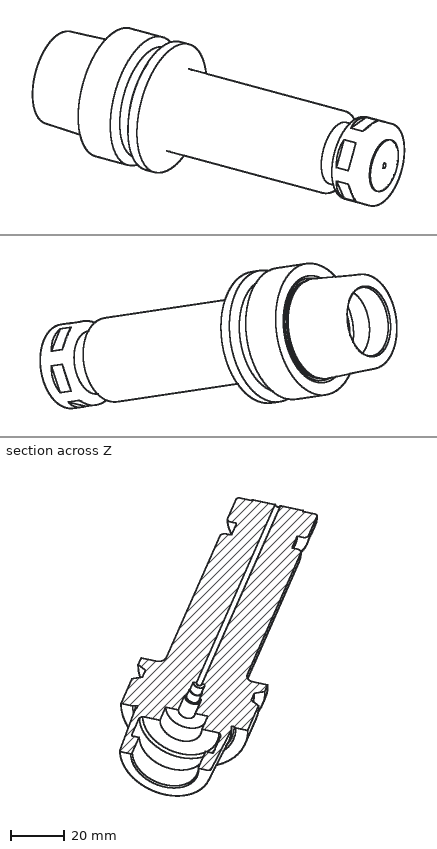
import cadquery as cq
import math


shank_length = 25.0
shank_tip_radius = 18.0
shank_tip_round = 1.0
taper_end_x = -2.1
taper_end_radius = 19.0
land_end_x = -1.3

relief_radius = 18.6
relief_slope_length = 1.0
recess_depth = 0.5
recess_floor_radius = 19.45
recess_mouth_radius = 20.3

flange_radius = 25.0
flange_length = 26.0
groove_center_x = 18.1
groove_floor_width = 3.75
groove_floor_radius = 21.5
groove_flank_angle = 30.0

body_radius = 16.0
body_end_x = 99.5
body_root_fillet = 3.0
body_end_fillet = 2.0
neck_radius = 12.0

nut_radius = 16.0
nut_start_x = 105.9
nut_end_x = 119.55
nut_back_fillet = 1.6
nut_front_fillet = 1.2
collet_radius = 10.0
collet_end_x = 120.0

flat_count = 6
flat_across = 30.1
flat_start_x = 108.55
flat_end_x = 113.75
flat_wall_angle = 30.0

bore_diameter = 26.0
bore_mouth_diameter = 26.8
bore_mouth_depth = 0.8
clamp_end_depth = 20.6
bore_steps = [(bore_diameter, clamp_end_depth), (16.4, 28.0), (6.5, 36.0), (5.0, 40.0), (4.5, 44.0)]
through_diameter = 2.0

clamp_diameter = 32.0
clamp_start_depth = 9.7
clamp_floor_chamfer = 1.0

cutter_margin = 1.0


def add_quarter_arc(outline, center, radius, x_side, r_side, end):
    """Add a quarter arc whose bulge points along the given signs of X and radius."""
    middle = (
        center[0] + x_side * radius * math.sqrt(0.5),
        center[1] + r_side * radius * math.sqrt(0.5),
    )
    return outline.threePointArc(middle, end)


def make_turned_body():
    """Revolve the outer outline about X."""
    tip_x = -shank_length
    flank_run = (flange_radius - groove_floor_radius) * math.tan(math.radians(groove_flank_angle))
    floor_start_x = groove_center_x - groove_floor_width / 2
    floor_end_x = groove_center_x + groove_floor_width / 2
    tip_inner_radius = shank_tip_radius - shank_tip_round

    outline = cq.Workplane("XY").moveTo(tip_x, 0).lineTo(tip_x, tip_inner_radius)
    outline = add_quarter_arc(
        outline, (tip_x + shank_tip_round, tip_inner_radius), shank_tip_round, -1, 1,
        (tip_x + shank_tip_round, shank_tip_radius),
    )
    outline = (
        outline.lineTo(taper_end_x, taper_end_radius)
        .lineTo(land_end_x, taper_end_radius)
        .lineTo(land_end_x + relief_slope_length, relief_radius)
        .lineTo(recess_depth, relief_radius)
        .lineTo(recess_depth, recess_floor_radius)
        .lineTo(0, recess_mouth_radius)
        .lineTo(0, flange_radius)
        .lineTo(floor_start_x - flank_run, flange_radius)
        .lineTo(floor_start_x, groove_floor_radius)
        .lineTo(floor_end_x, groove_floor_radius)
        .lineTo(floor_end_x + flank_run, flange_radius)
        .lineTo(flange_length, flange_radius)
        .lineTo(flange_length, body_radius + body_root_fillet)
    )
    outline = add_quarter_arc(
        outline, (flange_length + body_root_fillet, body_radius + body_root_fillet),
        body_root_fillet, -1, -1, (flange_length + body_root_fillet, body_radius),
    )
    outline = outline.lineTo(body_end_x - body_end_fillet, body_radius)
    outline = add_quarter_arc(
        outline, (body_end_x - body_end_fillet, body_radius - body_end_fillet),
        body_end_fillet, 1, 1, (body_end_x, body_radius - body_end_fillet),
    )
    outline = (
        outline.lineTo(body_end_x, neck_radius)
        .lineTo(nut_start_x, neck_radius)
        .lineTo(nut_start_x, nut_radius - nut_back_fillet)
    )
    outline = add_quarter_arc(
        outline, (nut_start_x + nut_back_fillet, nut_radius - nut_back_fillet),
        nut_back_fillet, -1, 1, (nut_start_x + nut_back_fillet, nut_radius),
    )
    outline = outline.lineTo(nut_end_x - nut_front_fillet, nut_radius)
    outline = add_quarter_arc(
        outline, (nut_end_x - nut_front_fillet, nut_radius - nut_front_fillet),
        nut_front_fillet, 1, 1, (nut_end_x, nut_radius - nut_front_fillet),
    )
    outline = (
        outline.lineTo(nut_end_x, collet_radius)
        .lineTo(collet_end_x, collet_radius)
        .lineTo(collet_end_x, 0)
        .close()
    )
    return outline.revolve(360, (0, 0, 0), (1, 0, 0))


def cut_bore(body):
    """Cut the stepped bore, clamping recess, mouth chamfer and through hole."""
    tip_face = cq.Workplane("YZ").workplane(offset=-shank_length)
    for diameter, depth in bore_steps:
        body = body.cut(tip_face.circle(diameter / 2).extrude(depth))
    clamp_start_x = clamp_start_depth - shank_length
    clamp_end_x = clamp_end_depth - shank_length
    clamp_recess = (
        cq.Workplane("XY")
        .moveTo(clamp_start_x, 0)
        .lineTo(clamp_start_x, clamp_diameter / 2)
        .lineTo(clamp_end_x - clamp_floor_chamfer, clamp_diameter / 2)
        .lineTo(clamp_end_x, clamp_diameter / 2 - clamp_floor_chamfer)
        .lineTo(clamp_end_x, 0)
        .close()
        .revolve(360, (0, 0, 0), (1, 0, 0))
    )
    body = body.cut(clamp_recess)
    mouth = (
        tip_face.circle(bore_mouth_diameter / 2)
        .workplane(offset=bore_mouth_depth)
        .circle(bore_diameter / 2)
        .loft()
    )
    body = body.cut(mouth)
    total_length = shank_length + collet_end_x
    return body.cut(tip_face.circle(through_diameter / 2).extrude(total_length))


def cut_wrench_flats(body):
    """Cut the equally spaced flats, whose end walls lean outward."""
    floor_z = flat_across / 2
    top_z = nut_radius + cutter_margin
    lean = (top_z - floor_z) * math.tan(math.radians(flat_wall_angle))
    cutter = (
        cq.Workplane("XZ")
        .moveTo(flat_start_x, floor_z)
        .lineTo(flat_end_x, floor_z)
        .lineTo(flat_end_x + lean, top_z)
        .lineTo(flat_start_x - lean, top_z)
        .close()
        .extrude(nut_radius, both=True)
    )
    for index in range(flat_count):
        body = body.cut(cutter.rotate((0, 0, 0), (1, 0, 0), index * 360 / flat_count))
    return body


result = cut_wrench_flats(cut_bore(make_turned_body()))